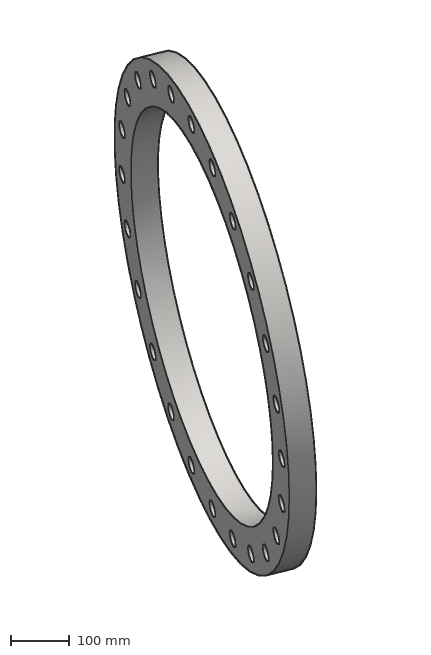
import cadquery as cq

outer_diameter = 912.0
inner_diameter = 740.0
thickness = 49.0

bolt_circle_diameter = 840.0
bolt_hole_diameter = 30.0
bolt_hole_count = 24
hole_pitch_angle = 360 / bolt_hole_count


def make_ring():
    """Plain ring, with its back face on the XZ plane."""
    return (
        cq.Workplane("XZ")
        .circle(outer_diameter / 2)
        .circle(inner_diameter / 2)
        .extrude(thickness)
    )


def make_bolt_holes():
    """Cylinders to cut through the full thickness of the ring."""
    return (
        cq.Workplane("XZ")
        .polarArray(bolt_circle_diameter / 2, hole_pitch_angle / 2, 360, bolt_hole_count)
        .circle(bolt_hole_diameter / 2)
        .extrude(thickness)
    )


result = make_ring().cut(make_bolt_holes())